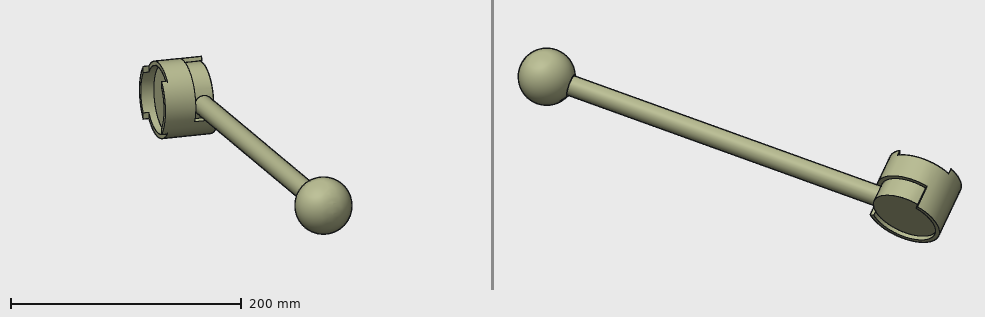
import cadquery as cq
import math

total_length = 399
hub_diameter = 68
hub_height = 50.0
rod_diameter = 18.0
ball_diameter = 50.0
overlap_y = 62.0

hub_radius = hub_diameter / 2
ball_radius = ball_diameter / 2
hub_front = ball_radius - overlap_y
hub_back = hub_front + hub_height

core_diameter = 60
bore_diameter = 60.2
core_back = rod_diameter / 2
front_recess_depth = 12
core_front = hub_front + front_recess_depth

notch_width = 48
notch_depth = 5.0

window_start = -22.5
window_end = 113
window_front = -rod_diameter / 2

ball_x = total_length - hub_radius - ball_radius
ball_flat_offset = 22.7


def cylinder_y(diameter, front, back):
    """Cylinder on the hub axis between two Y positions."""
    plane = cq.Workplane("XZ", origin=(0, back, 0))
    return plane.circle(diameter / 2).extrude(back - front)


def point_at(radius, angle):
    """X and Z of a point around the hub axis."""
    turn = math.radians(angle)
    return radius * math.cos(turn), radius * math.sin(turn)


def make_sleeve():
    sleeve = cylinder_y(hub_diameter, hub_front, hub_back)
    return sleeve.cut(cylinder_y(bore_diameter, core_back, hub_back)).cut(
        cylinder_y(bore_diameter, hub_front, core_front)
    )


def make_notch():
    return cq.Workplane("XY").box(notch_width, notch_depth, hub_diameter).translate(
        (0, hub_front + notch_depth / 2, 0)
    )


def make_window():
    reach = hub_diameter
    middle = (window_start + window_end) / 2
    sector = (
        cq.Workplane("XZ", origin=(0, hub_back, 0))
        .lineTo(*point_at(reach, window_start))
        .threePointArc(point_at(reach, middle), point_at(reach, window_end))
        .close()
        .extrude(hub_back - window_front)
    )
    return sector.cut(cylinder_y(core_diameter, window_front, core_back))


def make_rod():
    return cq.Workplane("YZ").circle(rod_diameter / 2).extrude(ball_x)


def make_ball():
    ball = cq.Workplane("XY").sphere(ball_radius)
    keep = cq.Workplane("YZ", origin=(-ball_flat_offset, 0, 0)).rect(ball_diameter, ball_diameter)
    return ball.intersect(keep.extrude(ball_flat_offset + ball_radius)).translate((ball_x, 0, 0))


hub = make_sleeve().cut(make_notch()).cut(make_window())
result = hub.union(make_rod()).union(make_ball())